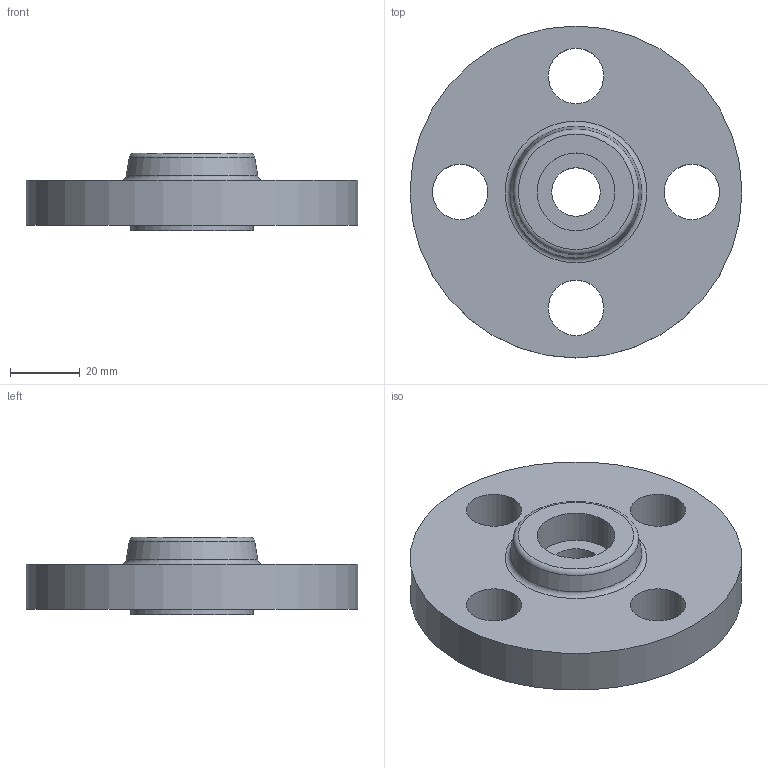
import cadquery as cq
import math


flange_diameter = 95.25
flange_thickness = 12.95

raised_face_diameter = 35.1
raised_face_height = 1.5

overall_height = 22.16
hub_base_diameter = 38.1
hub_taper_angle = 9.0
hub_top_fillet = 1.5
hub_root_fillet = 1.5

bore_diameter = 13.9
socket_diameter = 22.35
socket_depth = 9.55

edge_margin = 0.1

bolt_circle_diameter = 66.55
bolt_hole_diameter = 15.9
bolt_hole_count = 4

flange_top = raised_face_height + flange_thickness
hub_height = overall_height - flange_top
hub_base_radius = hub_base_diameter / 2
hub_top_radius = hub_base_radius - hub_height * math.tan(math.radians(hub_taper_angle))


def make_body():
    """Revolved solid of raised face, flange plate and tapered hub."""
    raised_face_radius = raised_face_diameter / 2
    flange_radius = flange_diameter / 2
    profile = (
        cq.Workplane("XZ")
        .moveTo(0, 0)
        .lineTo(raised_face_radius, 0)
        .lineTo(raised_face_radius, raised_face_height)
        .lineTo(flange_radius, raised_face_height)
        .lineTo(flange_radius, flange_top)
        .lineTo(hub_base_radius, flange_top)
        .lineTo(hub_top_radius, overall_height)
        .lineTo(0, overall_height)
        .close()
    )
    return profile.revolve(360, (0, 0, 0), (0, 1, 0))


def round_hub(body):
    """Round the rim of the hub and blend its root into the plate."""
    body = body.faces(">Z").edges().fillet(hub_top_fillet)
    root_box = cq.selectors.BoxSelector(
        (-hub_base_diameter, -hub_base_diameter, flange_top - edge_margin),
        (hub_base_diameter, hub_base_diameter, flange_top + edge_margin),
        boundingbox=True,
    )
    body = body.edges(root_box).fillet(hub_root_fillet)
    return body


def cut_bore(body):
    """Cut the through bore and the pipe socket entering from the hub end."""
    body = body.faces(">Z").workplane(origin=(0, 0, overall_height))
    return body.cboreHole(bore_diameter, socket_diameter, socket_depth)


def cut_bolt_holes(body):
    """Cut the evenly spaced bolt holes through the plate."""
    holes = (
        cq.Workplane("XY")
        .polarArray(bolt_circle_diameter / 2, 0, 360, bolt_hole_count)
        .circle(bolt_hole_diameter / 2)
        .extrude(overall_height)
    )
    return body.cut(holes)


body = make_body()
body = round_hub(body)
body = cut_bore(body)
result = cut_bolt_holes(body)